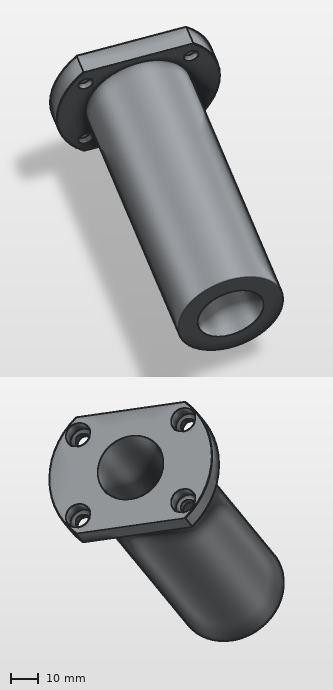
import cadquery as cq

total_length = 112.0
flange_diameter = 62.0
flange_thickness = 8.0
flange_height = 46.0
sleeve_diameter = 40.0
bore_diameter = 25.0
rim_radius = 0.2

hole_diameter = 5.5
counterbore_diameter = 9.2
counterbore_depth = 5.4
hole_spacing_y = 40.0
hole_spacing_z = 32.0


def make_flange():
    """Disc with rounded rims, trimmed to two flats facing up and down."""
    disc = (
        cq.Workplane("YZ")
        .circle(flange_diameter / 2)
        .extrude(flange_thickness)
        .edges("%CIRCLE")
        .fillet(rim_radius)
    )
    flats_envelope = cq.Workplane("YZ").rect(flange_diameter, flange_height).extrude(flange_thickness)
    return disc.intersect(flats_envelope)


def make_sleeve():
    """Cylinder with a rounded rim at its free end."""
    return (
        cq.Workplane("YZ")
        .circle(sleeve_diameter / 2)
        .extrude(total_length)
        .faces(">X")
        .fillet(rim_radius)
    )


def make_bore():
    """Through bore along the sleeve axis."""
    return cq.Workplane("YZ").circle(bore_diameter / 2).extrude(total_length)


def make_mounting_holes():
    """Four through holes, counterbored from the outer flange face."""
    centers = cq.Workplane("YZ").rect(hole_spacing_y, hole_spacing_z, forConstruction=True).vertices()
    through_holes = centers.circle(hole_diameter / 2).extrude(flange_thickness)
    counterbores = centers.circle(counterbore_diameter / 2).extrude(counterbore_depth)
    return through_holes.union(counterbores)


result = make_flange().union(make_sleeve()).cut(make_bore()).cut(make_mounting_holes())